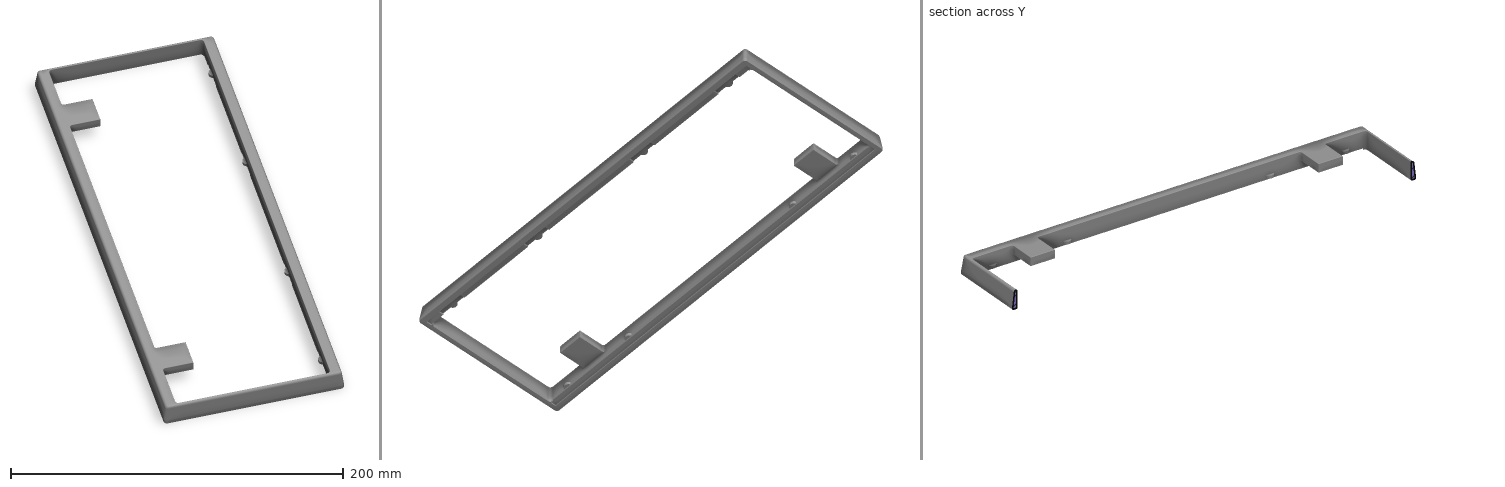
import cadquery as cq
import math

frame_length = 293.7
frame_width = 112.5
frame_height = 12.8

base_band_height = 2.5
wall_draft_angle = 7.0
outer_corner_radius = 2.0
top_edge_radius = 1.6

long_rail_width = 8.0
short_rail_width = 3.1
opening_corner_radius = 2.0
opening_length = frame_length - 2 * short_rail_width
opening_width = frame_width - 2 * long_rail_width
opening_edge_y = opening_width / 2
opening_edge_radius = 0.3

tab_spacing = 210.0
tab_width = 17.7
tab_reach = 19.2
tab_thickness = 6.0
tab_root_radius = 1.5

step_width = 4.0
step_height = 1.0
relief_length = 19.0
relief_height = 2.1

boss_diameter = 6.0
boss_thickness = 2.0
boss_protrusion = 2.0
back_boss_positions = (47.5, 123.7)
front_boss_positions = (74.0, 128.7)


def make_outer_body():
    """Solid block with drafted walls and rounded outer edges."""
    band = cq.Workplane("XY").rect(frame_length, frame_width).extrude(base_band_height)
    drafted = (
        band.faces(">Z")
        .wires()
        .toPending()
        .workplane()
        .extrude(frame_height - base_band_height, taper=wall_draft_angle)
    )
    rounded = drafted.edges("not #Z").fillet(outer_corner_radius)
    return rounded.faces(">Z").edges().fillet(top_edge_radius)


def make_opening():
    """Cutter for the rectangular opening with rounded corners."""
    return (
        cq.Workplane("XY")
        .rect(opening_length, opening_width)
        .extrude(frame_height)
        .edges("|Z")
        .fillet(opening_corner_radius)
    )


def make_step(center_x, side, length, height):
    """Cutter under the inner side of the long rail at side +1 (+Y) or -1 (-Y)."""
    center_y = side * (opening_edge_y + step_width / 2)
    return cq.Workplane("XY").center(center_x, center_y).rect(length, step_width).extrude(height)


def make_tab(center_x):
    """Flat tab with flared root corners."""
    half_width = tab_width / 2
    root_y = -opening_edge_y
    end_y = root_y + tab_reach
    flare_x = half_width + tab_root_radius
    flare_y = root_y + tab_root_radius
    buried_y = root_y - long_rail_width / 2
    arc_inset = tab_root_radius * (1 - math.sqrt(0.5))
    return (
        cq.Workplane("XY", origin=(center_x, 0, frame_height - tab_thickness))
        .moveTo(-flare_x, buried_y)
        .lineTo(-flare_x, root_y)
        .threePointArc((-half_width - arc_inset, root_y + arc_inset), (-half_width, flare_y))
        .lineTo(-half_width, end_y)
        .lineTo(half_width, end_y)
        .lineTo(half_width, flare_y)
        .threePointArc((half_width + arc_inset, root_y + arc_inset), (flare_x, root_y))
        .lineTo(flare_x, buried_y)
        .close()
        .extrude(tab_thickness)
    )


def round_opening_edge(body):
    """Round the inner boundary of the top face."""
    boundary = body.faces(">Z").val().innerWires()[0]
    return body.newObject(boundary.Edges()).fillet(opening_edge_radius)


def make_boss(center_x, side):
    """Round boss on the long rail at side +1 (+Y) or -1 (-Y)."""
    center_y = side * (opening_edge_y - boss_protrusion + boss_diameter / 2)
    return (
        cq.Workplane("XY", origin=(center_x, center_y, relief_height))
        .circle(boss_diameter / 2)
        .extrude(boss_thickness)
    )


frame = make_outer_body().cut(make_opening())
for mirror in (-1, 1):
    frame = frame.union(make_tab(mirror * tab_spacing / 2))
result = round_opening_edge(frame)

for side in (-1, 1):
    result = result.cut(make_step(0, side, opening_length, step_height))
for mirror in (-1, 1):
    for position in back_boss_positions:
        result = result.cut(make_step(mirror * position, 1, relief_length, relief_height))
        result = result.union(make_boss(mirror * position, 1))
    for position in front_boss_positions:
        result = result.union(make_boss(mirror * position, -1))